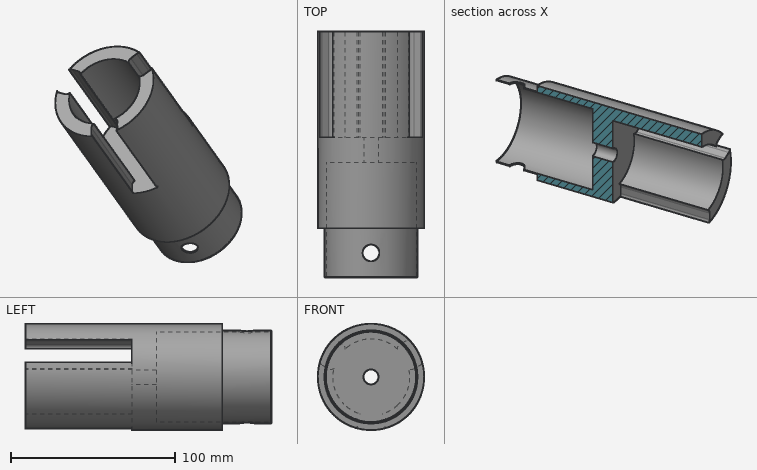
import cadquery as cq

total_length = 150.0
body_diameter = 65.0
spigot_diameter = 56.8
spigot_length = 30.0
spigot_chamfer = 0.5

slot_count = 3
slot_width = 17.1
slot_height = 10.5
slot_corner_radius = 3.0
slot_length = 64.6
slot_center_radius = 27.3
first_slot_angle = 30.0

rear_bore_diameter = 46.8
rear_bore_depth = slot_length
partition_thickness = 15.0
partition_hole_diameter = 9.0
spigot_bore_diameter = 54.9
spigot_bore_depth = total_length - rear_bore_depth - partition_thickness

pin_hole_diameter = 10.0
pin_hole_y = spigot_length / 2


def cylinder_along_y(diameter, start_y, length):
    """Solid cylinder on the Y axis, running toward +Y from start_y."""
    return (
        cq.Workplane("XZ", origin=(0, start_y, 0))
        .circle(diameter / 2)
        .extrude(-length)
    )


def make_outer_body():
    """Main cylinder and spigot, with the spigot's outer rim chamfered."""
    spigot = cylinder_along_y(spigot_diameter, 0, spigot_length)
    spigot = spigot.faces("<Y").chamfer(spigot_chamfer)
    barrel = cylinder_along_y(body_diameter, spigot_length, total_length - spigot_length)
    return barrel.union(spigot)


def cut_bores(body):
    """Hollow both ends and pierce the partition left between them."""
    spigot_bore = cylinder_along_y(spigot_bore_diameter, 0, spigot_bore_depth)
    rear_bore = cylinder_along_y(
        rear_bore_diameter, total_length - rear_bore_depth, rear_bore_depth
    )
    partition_hole = cylinder_along_y(partition_hole_diameter, 0, total_length)
    return body.cut(spigot_bore).cut(rear_bore).cut(partition_hole)


def cut_pin_hole(body):
    """Drill through both walls of the spigot, parallel to Z."""
    pin = (
        cq.Workplane("XY", origin=(0, pin_hole_y, 0))
        .circle(pin_hole_diameter / 2)
        .extrude(body_diameter, both=True)
    )
    return body.cut(pin)


def cut_slots(body):
    """Cut equally spaced slots through the wall from the rear end."""
    cutter = (
        cq.Workplane("XZ", origin=(0, total_length - slot_length, 0))
        .center(slot_center_radius, 0)
        .rect(slot_height, slot_width)
        .extrude(-slot_length)
        .edges("|Y")
        .fillet(slot_corner_radius)
    )
    for index in range(slot_count):
        angle = first_slot_angle + index * 360.0 / slot_count
        body = body.cut(cutter.rotate((0, 0, 0), (0, 1, 0), -angle))
    return body


result = cut_slots(cut_pin_hole(cut_bores(make_outer_body())))